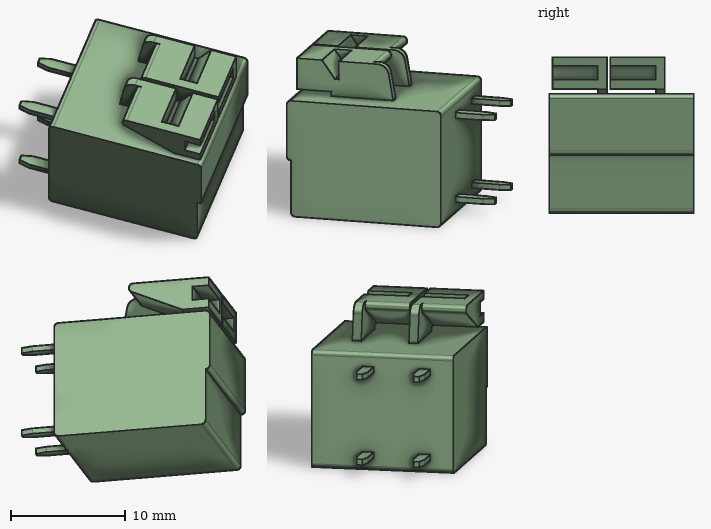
import cadquery as cq
import math


body_length = 14.1
body_width = 12.7
body_height = 10.5
body_edge_radius = 0.4
lower_step_depth = 0.4
lower_step_height = 5.1
lip_radius = 0.38

pole_count = 2
pole_pitch = 5.08

pin_length = 3.5
pin_width = 1.0
pin_thickness = 0.5
pin_tip_width = 0.5
pin_taper_length = 1.0
first_pin_y = 2.54
pin_row_heights = (1.4, 9.02)

lever_top = 13.7
lever_gap = 0.4
lever_bottom = body_height + lever_gap
lever_end_x = 13.9
lever_width = 4.8
first_lever_y = 0.28
lever_nose_radius = 0.4
lever_slope_start_x = 11.5
lever_slope_angle = 24.0

arm_thickness = 0.8
arm_start_x = 5.1
arm_foot_end_x = 10.75
arm_lean_angle = 10.0
arm_corner_radius = 1.0

pocket_start_x = 10.05
pocket_floor_length = 0.37
pocket_end_x = 11.6
pocket_depth = 1.65
pocket_side_wall = 0.87

notch_start_x = 12.45
notch_bottom = 11.7
notch_height = 1.25


def extrude_along_y(outline, start_y, width):
    """Extrude a closed list of (x, z) points towards +Y from start_y."""
    return (
        cq.Workplane("XZ", origin=(0, start_y, 0))
        .polyline(outline)
        .close()
        .extrude(-width)
    )


def make_housing():
    step_x = body_length - lower_step_depth
    outline = [
        (0, 0),
        (step_x, 0),
        (step_x, lower_step_height),
        (body_length, lower_step_height),
        (body_length, body_height),
        (0, body_height),
    ]
    housing = extrude_along_y(outline, 0, body_width)
    housing = housing.faces("<X or >Z or <Z").edges("|Y").fillet(body_edge_radius)
    lip_point = (body_length, body_width / 2, lower_step_height)
    lip_edge = housing.edges(cq.selectors.NearestToPointSelector(lip_point))
    return lip_edge.fillet(lip_radius)


def make_pin(center_y, center_z):
    half_width = pin_width / 2
    half_tip = pin_tip_width / 2
    taper_x = pin_taper_length - pin_length
    outline = [
        (0, -half_width),
        (taper_x, -half_width),
        (-pin_length, -half_tip),
        (-pin_length, half_tip),
        (taper_x, half_width),
        (0, half_width),
    ]
    return (
        cq.Workplane("XY", origin=(0, center_y, center_z - pin_thickness / 2))
        .polyline(outline)
        .close()
        .extrude(pin_thickness)
    )


def make_lever_block(start_y):
    height = lever_top - lever_bottom
    nose_x = lever_slope_start_x - height / math.tan(math.radians(lever_slope_angle))
    outline = [
        (nose_x, lever_top),
        (lever_slope_start_x, lever_bottom),
        (lever_end_x, lever_bottom),
        (lever_end_x, lever_top),
    ]
    block = extrude_along_y(outline, start_y, lever_width)
    return block.edges("|Y and <X").fillet(lever_nose_radius)


def make_arm(start_y):
    lean = (lever_top - body_height) * math.tan(math.radians(arm_lean_angle))
    outline = [
        (arm_start_x, body_height),
        (arm_foot_end_x, body_height),
        (arm_foot_end_x, lever_bottom),
        (lever_end_x, lever_bottom),
        (lever_end_x, lever_top),
        (arm_start_x + lean, lever_top),
    ]
    arm = extrude_along_y(outline, start_y, arm_thickness)
    return arm.faces(">Z").edges("|Y and <X").fillet(arm_corner_radius)


def make_pocket_cutter(start_y):
    """Pocket with a sloped rear wall, open at the +Y side of the lever."""
    floor = lever_top - pocket_depth
    outline = [
        (pocket_start_x, lever_top),
        (pocket_start_x, floor),
        (pocket_start_x + pocket_floor_length, floor),
        (pocket_end_x, lever_top),
    ]
    return extrude_along_y(outline, start_y + pocket_side_wall, lever_width - pocket_side_wall)


def make_notch_cutter(start_y):
    """Notch open at the lever end and -Y side, closed on the other side by the arm plate."""
    notch = cq.Workplane("XY").box(
        lever_end_x - notch_start_x,
        lever_width - arm_thickness,
        notch_height,
        centered=False,
    )
    return notch.translate((notch_start_x, start_y, notch_bottom))


def make_lever(start_y):
    arm_y = start_y + lever_width - arm_thickness
    lever = make_lever_block(start_y).union(make_arm(arm_y))
    lever = lever.cut(make_pocket_cutter(start_y))
    return lever.cut(make_notch_cutter(start_y))


result = make_housing()
for pole in range(pole_count):
    pole_offset = pole * pole_pitch
    result = result.union(make_lever(first_lever_y + pole_offset))
    for pin_z in pin_row_heights:
        result = result.union(make_pin(first_pin_y + pole_offset, pin_z))